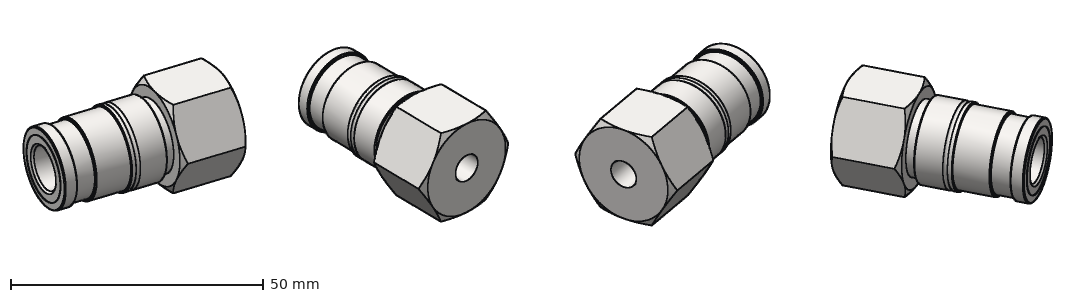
import cadquery as cq
import math

length = 40.0
across_flats = 21.0
across_corners = across_flats / math.cos(math.radians(30))
hex_length = 14.9
hex_chamfer_angle = 30.0

insert_radius = 7.0
body_radius = 8.7
front_groove_radius = 8.2
collar_radius = 9.1
ring_groove_radius = 8.75
neck_radius = 7.95

insert_protrusion = 0.1
lip_end = 3.05
body_start = 7.1
ring_start = 15.0
ring_groove_start = 16.0
ring_groove_end = 16.95
collar_end = 23.1
hex_start = length - hex_length

edge_chamfer = 0.25
ring_chamfer = 0.1

mouth_radius = 5.2
bore_radius = 4.7
mouth_chamfer = mouth_radius - bore_radius
bore_depth = 16.0
through_radius = 3.0


def cylinder(radius, start, end):
    """Cylinder about the Y axis between two Y positions."""
    return cq.Workplane("XZ", origin=(0, start, 0)).circle(radius).extrude(start - end)


def collar(radius, start, end, chamfer):
    """Cylinder with both end edges chamfered."""
    return cylinder(radius, start, end).faces("<Y or >Y").edges().chamfer(chamfer)


def hex_nut():
    """Hexagon with corners on X, both ends turned to a cone."""
    nut = (
        cq.Workplane("XZ", origin=(0, hex_start, 0))
        .polygon(6, across_corners)
        .extrude(-hex_length)
    )
    flat_radius = across_flats / 2
    corner_radius = across_corners / 2
    cone_height = (corner_radius - flat_radius) * math.tan(math.radians(hex_chamfer_angle))
    envelope = (
        cq.Workplane("XY")
        .moveTo(0, hex_start)
        .lineTo(flat_radius, hex_start)
        .lineTo(corner_radius, hex_start + cone_height)
        .lineTo(corner_radius, length - cone_height)
        .lineTo(flat_radius, length)
        .lineTo(0, length)
        .close()
        .revolve(360, (0, 0, 0), (0, 1, 0))
    )
    return nut.intersect(envelope)


def grooved_collar():
    """Collar with a shallow round-bottomed ring groove near its front end."""
    blank = cylinder(collar_radius, ring_start, collar_end)
    blank = blank.faces("<Y").chamfer(ring_chamfer).faces(">Y").chamfer(edge_chamfer)
    groove_middle = (ring_groove_start + ring_groove_end) / 2
    groove = (
        cq.Workplane("XY")
        .moveTo(collar_radius, ring_groove_start)
        .threePointArc(
            (ring_groove_radius, groove_middle),
            (collar_radius, ring_groove_end),
        )
        .close()
        .revolve(360, (0, 0, 0), (0, 1, 0))
    )
    return blank.cut(groove)


def turned_body():
    """Stepped round body from the insert face to the hex nut."""
    body = cylinder(insert_radius, 0, lip_end)
    body = body.union(collar(body_radius, insert_protrusion, lip_end, edge_chamfer))
    body = body.union(cylinder(front_groove_radius, lip_end, body_start))
    main_barrel = cylinder(body_radius, body_start, ring_start).faces("<Y").chamfer(edge_chamfer)
    body = body.union(main_barrel)
    body = body.union(grooved_collar())
    return body.union(cylinder(neck_radius, collar_end, hex_start))


def bore():
    """Chamfered front bore, with a smaller hole through the whole part."""
    front_bore = cylinder(bore_radius, 0, bore_depth)
    mouth = (
        cq.Workplane("XY")
        .moveTo(0, 0)
        .lineTo(mouth_radius, 0)
        .lineTo(bore_radius, mouth_chamfer)
        .lineTo(0, mouth_chamfer)
        .close()
        .revolve(360, (0, 0, 0), (0, 1, 0))
    )
    return front_bore.union(mouth).union(cylinder(through_radius, 0, length))


result = turned_body().union(hex_nut()).cut(bore())